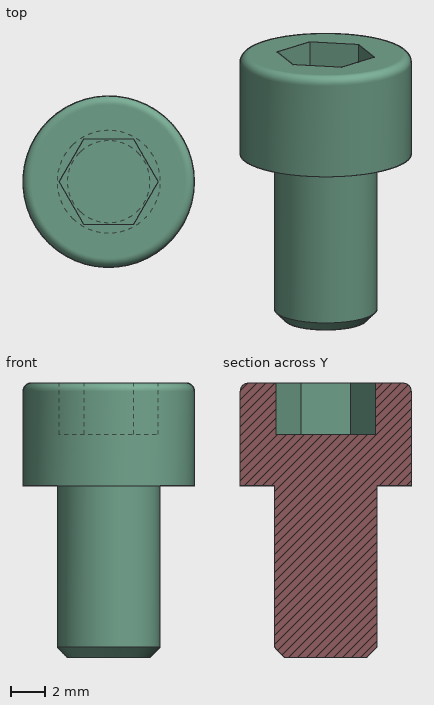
import cadquery as cq
import math

thread_diameter = 6.0
shank_length = 10.0
tip_chamfer = 0.6

head_diameter = 10.0
head_height = thread_diameter
head_edge_radius = 0.5

socket_sides = 6
socket_across_flats = 5.0
socket_depth = head_height / 2


def make_head():
    """Cylindrical head with a rounded top rim."""
    head = cq.Workplane("XY").circle(head_diameter / 2).extrude(head_height)
    return head.faces(">Z").edges().fillet(head_edge_radius)


def make_shank():
    """Plain cylindrical shank with a chamfered tip."""
    shank = cq.Workplane("XY").circle(thread_diameter / 2).extrude(-shank_length)
    return shank.faces("<Z").edges().chamfer(tip_chamfer)


def make_socket():
    """Hexagonal socket volume, with two corners on the X axis."""
    across_corners = socket_across_flats / math.cos(math.pi / socket_sides)
    top_plane = cq.Workplane("XY").workplane(offset=head_height)
    return top_plane.polygon(socket_sides, across_corners).extrude(-socket_depth)


result = make_head().union(make_shank()).cut(make_socket())